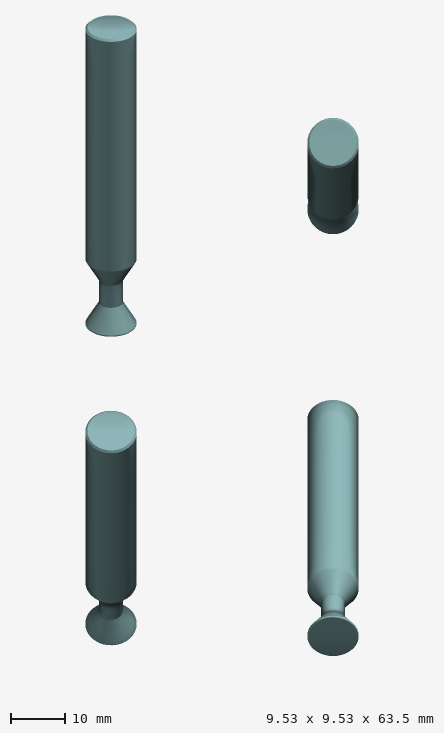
import math

import cadquery as cq

shank_diameter = 9.525
overall_length = 63.5
top_chamfer = 0.381

cone_angle = math.radians(30)
neck_diameter = 4.366
neck_length = 4.7625
corner_radius = 0.254

shank_radius = shank_diameter / 2
neck_radius = neck_diameter / 2


def cone_height(outer_radius):
    """Height over which a cone narrows from outer_radius to the neck."""
    return (outer_radius - neck_radius) / math.tan(cone_angle)


def rim_point(angle):
    """Point (radius, height) on the rounded rim, angle measured up from horizontal."""
    center_radius = shank_radius - corner_radius
    return (
        center_radius + corner_radius * math.cos(angle),
        corner_radius + corner_radius * math.sin(angle),
    )


def turned_body():
    """Revolve the half profile (radius, height) about the Z axis."""
    rim_bottom = rim_point(-math.pi / 2)
    rim_widest = rim_point(0)
    rim_top = rim_point(cone_angle)
    rim_top_radius, rim_top_z = rim_top

    neck_start_z = rim_top_z + cone_height(rim_top_radius)
    neck_end_z = neck_start_z + neck_length
    shank_start_z = neck_end_z + cone_height(shank_radius)

    profile = (
        cq.Workplane("XZ")
        .moveTo(0, 0)
        .lineTo(*rim_bottom)
        .threePointArc(rim_widest, rim_top)
        .lineTo(neck_radius, neck_start_z)
        .lineTo(neck_radius, neck_end_z)
        .lineTo(shank_radius, shank_start_z)
        .lineTo(shank_radius, overall_length - top_chamfer)
        .lineTo(shank_radius - top_chamfer, overall_length)
        .lineTo(0, overall_length)
        .close()
    )
    return profile.revolve(360, (0, 0, 0), (0, 1, 0))


result = turned_body()